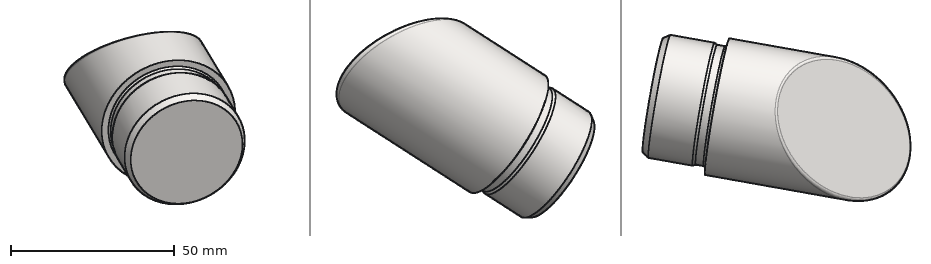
import cadquery as cq
import math

overall_length = 79.6
body_diameter = 42.4
spigot_diameter = 38.2
groove_diameter = 37.25
spigot_length = 20.0
groove_length = 4.2
groove_flank = 0.9
end_chamfer_length = 2.1
end_chamfer_depth = 1.35
face_angle = 45.0
rim_radius = 1.0

body_radius = body_diameter / 2
spigot_radius = spigot_diameter / 2
groove_radius = groove_diameter / 2
shoulder_x = overall_length - spigot_length
groove_end_x = shoulder_x + groove_length

tip_x = rim_radius * (1 - 1 / math.tan(math.radians(face_angle / 2)))
face_run = body_diameter / math.tan(math.radians(face_angle))


def slanted_body():
    """Cylinder cut off by a slanted plane, with a rounded rim."""
    cylinder = cq.Workplane("YZ", origin=(tip_x, 0, 0)).circle(body_radius).extrude(shoulder_x - tip_x)
    cutter = (
        cq.Workplane("XZ")
        .moveTo(tip_x, -body_radius)
        .lineTo(tip_x + face_run, body_radius)
        .lineTo(tip_x, body_radius)
        .close()
        .extrude(body_radius, both=True)
    )
    return cylinder.cut(cutter).faces("<X").edges().fillet(rim_radius)


def spigot():
    """Stepped spigot with a flanked groove at the shoulder and a chamfered end."""
    profile = [
        (shoulder_x, 0),
        (shoulder_x, spigot_radius),
        (shoulder_x + groove_flank, groove_radius),
        (groove_end_x - groove_flank, groove_radius),
        (groove_end_x, spigot_radius),
        (overall_length - end_chamfer_length, spigot_radius),
        (overall_length, spigot_radius - end_chamfer_depth),
        (overall_length, 0),
    ]
    return cq.Workplane("XY").polyline(profile).close().revolve(360, (0, 0, 0), (1, 0, 0))


result = slanted_body().union(spigot())